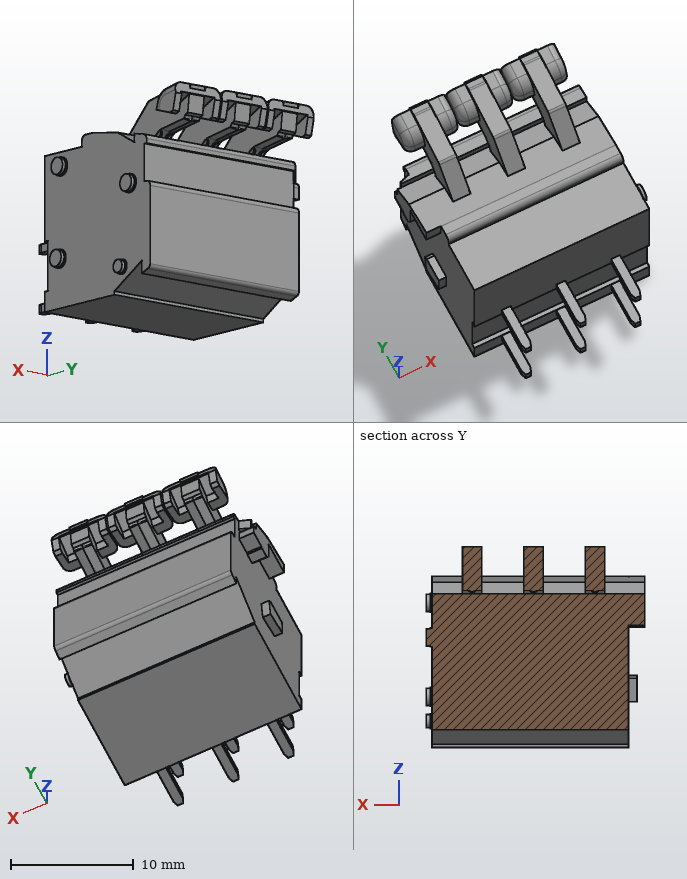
import cadquery as cq
import math


HOUSING_WIDTH = 16.0
HOUSING_HEIGHT = 13.02
CROWN_Z = 13.96
CROWN_FRONT_Y = 4.62
CROWN_BACK_Y = 5.98
CROWN_RADIUS = 0.52
ROOF_KNEE = (9.09, 13.47)
LIP_Y = 11.20
LIP_FOOT_Z = 12.30
LIP_TOP_Z = 13.02
LIP_BACK_Y = 12.73
LIP_SHOULDER = (12.30, 12.80)
LIP_BOTTOM_Z = 11.97
BACK_Y = 13.17
NECK_Y = 12.47
LEDGE_Z = 8.84
LEDGE_RADIUS = 0.46
HOOK_START_Z = 1.85
HOOK_BEND = (12.89, 1.49)
HOOK_TIP_Z = 1.20
HOOK_INNER_Y = 12.15
HOOK_ROOT_Z = 2.28
BASE_END = (8.72, 0.29)
RECESS_DEPTH = 0.40
RECESS_BOTTOM_Z = 1.72
RECESS_TOP_Z = 5.89

POLES = 3
PITCH = 5.0
FIRST_LEVER_X = 2.73
FIRST_PIN_X = 2.90

PIN_WIDTH = 0.82
PIN_TIP_WIDTH = 0.50
PIN_THICKNESS = 0.71
PIN_LENGTH = 4.0
PIN_TAPER = 0.48
PIN_ROOT = 1.0
PIN_ROWS_Z = (1.30, 6.30)

ARM_WIDTH = 1.60
ARM_TIP = (15.38, 16.80)
ARM_PEAK = (14.58, 17.03)
ARM_KNEE = (10.12, 16.26)
ARM_ROOT_FRONT = (7.22, 13.37)
ARM_BEND_RADIUS = 0.40
ARM_ROOT_BACK = (10.73, 12.63)
ARM_ROOT_Z = 12.30
ARM_HOLLOW = ((11.13, 13.22), (11.79, 13.55))
ARM_HEEL = (14.53, 13.96)
ARM_HEEL_TOP = (14.67, 14.35)
ARM_BACK_FOOT = (15.00, 14.50)
ARM_BACK_NOTCH = (15.19, 16.08)
KEEL_DROP = 0.13
KEEL_DEPTH = 0.45

HEAD_WIDTH = 4.85
HEAD_SIDE_WALL = 0.65
HEAD_EDGE_RADIUS = 0.70
HEAD_NOSE_RADIUS = 1.48
HEAD_SHELL = 0.80
HEAD_CAVITY_SLOPE = 0.30
CAVITY_OVERRUN = 1.0
HEAD_TOP = (15.24, 16.85)
HEAD_NOSE = (12.97, 16.45)
HEAD_TOP_MIDDLE = (14.50, 16.72)
HEAD_FRONT_FOOT = (12.54, 14.95)
HEAD_HEEL = (14.66, 14.30)
HEAD_BACK_FOOT = (15.05, 14.45)
HEAD_BACK = (15.38, 15.87)

TAB_LENGTH = 1.33
TAB_BACK_Y = 11.63
TAB_CORNER_Z = 11.32
TAB_CORNER_RADIUS = 0.42
TAB_HEEL = (10.20, 9.93)
TAB_BOTTOM_Z = 9.80
TAB_TOE_BACK_Y = 10.10
TAB_TOE_FRONT_Y = 9.22
TAB_SHIN = (8.85, 10.50)
TAB_ARM_Z = 12.62
FIN_LENGTH = 0.94
FIN_TIP_Y = 11.36
FIN_ROOT_Y = 11.72
FIN_BOTTOM_Z = 11.51
NUB_LENGTH = 0.70
NUB_OUTLINE = ((5.0, 5.89), (7.15, 5.89), (7.48, 5.64), (7.22, 3.72), (5.0, 4.20))

PEGS = ((2.08, 11.79, 1.55), (10.66, 8.97, 1.55), (1.90, 4.14, 1.55), (9.66, 2.17, 1.22))
PEG_LENGTH = 0.47
PEG_COLLAR = 0.15
PEG_STEP = 0.06


def yz_plane(x):
    """Sketch plane with local axes along Y and Z, extruding toward +X."""
    return cq.Workplane("YZ", origin=(x, 0, 0))


def raised(point, rise):
    return (point[0], point[1] + rise)


def point_on_circle(center, radius, degrees):
    angle = math.radians(degrees)
    return (center[0] + radius * math.cos(angle), center[1] + radius * math.sin(angle))


def make_housing():
    crown_center = (CROWN_FRONT_Y + CROWN_RADIUS, CROWN_Z - CROWN_RADIUS)
    ledge_center = (BACK_Y - LEDGE_RADIUS, LEDGE_Z - LEDGE_RADIUS)
    lip_side_z = LIP_SHOULDER[1] - (LIP_BACK_Y - LIP_SHOULDER[0])
    return (
        yz_plane(0)
        .moveTo(0, 0)
        .lineTo(0, RECESS_BOTTOM_Z)
        .lineTo(RECESS_DEPTH, RECESS_BOTTOM_Z)
        .lineTo(RECESS_DEPTH, RECESS_TOP_Z)
        .lineTo(0, RECESS_TOP_Z)
        .lineTo(0, HOUSING_HEIGHT)
        .lineTo(CROWN_FRONT_Y, HOUSING_HEIGHT)
        .lineTo(CROWN_FRONT_Y, crown_center[1])
        .threePointArc(point_on_circle(crown_center, CROWN_RADIUS, 135), (crown_center[0], CROWN_Z))
        .lineTo(CROWN_BACK_Y, CROWN_Z)
        .lineTo(*ROOF_KNEE)
        .lineTo(LIP_Y, LIP_FOOT_Z)
        .lineTo(LIP_Y, LIP_TOP_Z)
        .lineTo(*LIP_SHOULDER)
        .tangentArcPoint((LIP_BACK_Y, lip_side_z), relative=False)
        .lineTo(LIP_BACK_Y, LIP_BOTTOM_Z)
        .lineTo(NECK_Y, LIP_BOTTOM_Z)
        .lineTo(NECK_Y, LEDGE_Z)
        .lineTo(ledge_center[0], LEDGE_Z)
        .threePointArc(point_on_circle(ledge_center, LEDGE_RADIUS, 45), (BACK_Y, ledge_center[1]))
        .lineTo(BACK_Y, HOOK_START_Z)
        .tangentArcPoint(HOOK_BEND, relative=False)
        .lineTo(HOOK_INNER_Y, HOOK_TIP_Z)
        .lineTo(HOOK_INNER_Y, HOOK_ROOT_Z)
        .lineTo(*BASE_END)
        .lineTo(BASE_END[0], 0)
        .close()
        .extrude(HOUSING_WIDTH)
    )


def make_tab():
    corner_center = (TAB_BACK_Y - TAB_CORNER_RADIUS, TAB_CORNER_Z - TAB_CORNER_RADIUS)
    return (
        yz_plane(-TAB_LENGTH)
        .moveTo(CROWN_BACK_Y, CROWN_Z)
        .lineTo(*ROOF_KNEE)
        .lineTo(LIP_Y, LIP_FOOT_Z)
        .lineTo(LIP_Y, TAB_CORNER_Z)
        .lineTo(corner_center[0], TAB_CORNER_Z)
        .threePointArc(
            point_on_circle(corner_center, TAB_CORNER_RADIUS, 45), (TAB_BACK_Y, corner_center[1])
        )
        .lineTo(TAB_BACK_Y, TAB_HEEL[1])
        .lineTo(*TAB_HEEL)
        .lineTo(TAB_TOE_BACK_Y, TAB_BOTTOM_Z)
        .lineTo(TAB_TOE_FRONT_Y, TAB_BOTTOM_Z)
        .lineTo(*TAB_SHIN)
        .lineTo(TAB_SHIN[0], TAB_ARM_Z)
        .lineTo(CROWN_BACK_Y, TAB_ARM_Z)
        .close()
        .extrude(TAB_LENGTH)
    )


def make_fin():
    """Tapered continuation of the rear lip, ending under the lip's own sloping top."""
    plan = [(0, LIP_Y), (-FIN_LENGTH, LIP_Y), (-FIN_LENGTH, FIN_TIP_Y), (0, FIN_ROOT_Y)]
    lip_section = [
        (LIP_Y, FIN_BOTTOM_Z),
        (LIP_Y, LIP_TOP_Z),
        LIP_SHOULDER,
        (LIP_SHOULDER[0], FIN_BOTTOM_Z),
    ]
    column = cq.Workplane("XY").polyline(plan).close().extrude(CROWN_Z)
    return yz_plane(-FIN_LENGTH).polyline(lip_section).close().extrude(FIN_LENGTH).intersect(column)


def make_nub():
    return yz_plane(-NUB_LENGTH).polyline(NUB_OUTLINE).close().extrude(NUB_LENGTH)


def make_peg(y, z, diameter):
    collar = yz_plane(HOUSING_WIDTH).center(y, z).circle(diameter / 2).extrude(PEG_COLLAR)
    stem = yz_plane(HOUSING_WIDTH).center(y, z).circle(diameter / 2 - PEG_STEP).extrude(PEG_LENGTH)
    return collar.union(stem)


def make_pin(x, z):
    outline = [
        (x - PIN_WIDTH / 2, PIN_ROOT),
        (x - PIN_WIDTH / 2, PIN_TAPER - PIN_LENGTH),
        (x - PIN_TIP_WIDTH / 2, -PIN_LENGTH),
        (x + PIN_TIP_WIDTH / 2, -PIN_LENGTH),
        (x + PIN_WIDTH / 2, PIN_TAPER - PIN_LENGTH),
        (x + PIN_WIDTH / 2, PIN_ROOT),
    ]
    base = cq.Workplane("XY", origin=(0, 0, z - PIN_THICKNESS / 2))
    return base.polyline(outline).close().extrude(PIN_THICKNESS)


def make_arm(x):
    underside = [raised(point, KEEL_DROP) for point in (*ARM_HOLLOW, ARM_HEEL)]
    arm = (
        yz_plane(x - ARM_WIDTH / 2)
        .moveTo(*ARM_TIP)
        .lineTo(*ARM_PEAK)
        .lineTo(*ARM_KNEE)
        .lineTo(*ARM_ROOT_FRONT)
        .lineTo(ARM_ROOT_FRONT[0], ARM_ROOT_Z)
        .lineTo(ARM_ROOT_BACK[0], ARM_ROOT_Z)
        .lineTo(*raised(ARM_ROOT_BACK, KEEL_DROP))
        .threePointArc(underside[0], underside[1])
        .lineTo(*underside[2])
        .lineTo(*ARM_HEEL_TOP)
        .lineTo(*ARM_BACK_FOOT)
        .lineTo(*ARM_BACK_NOTCH)
        .close()
        .extrude(ARM_WIDTH)
    )
    for y, z in (ARM_PEAK, ARM_KNEE):
        arm = arm.edges(cq.NearestToPointSelector((x, y, z))).fillet(ARM_BEND_RADIUS)
    return arm.union(make_keel(x))


def make_keel(x):
    """Band along the arm's underside, drawn at mid-width and tapering toward both sides."""
    half_width = ARM_WIDTH / 2
    taper = math.degrees(math.atan(KEEL_DROP / half_width))
    outline = (
        yz_plane(x)
        .moveTo(*ARM_ROOT_BACK)
        .threePointArc(*ARM_HOLLOW)
        .lineTo(*ARM_HEEL)
        .lineTo(*ARM_HEEL_TOP)
        .lineTo(*raised(ARM_HOLLOW[1], KEEL_DEPTH))
        .lineTo(ARM_ROOT_BACK[0] - KEEL_DEPTH, ARM_ROOT_BACK[1])
        .close()
    )
    half = outline.extrude(half_width, taper=taper)
    return half.union(half.mirror("YZ", (x, 0, 0)))


def make_head(x):
    outline = [HEAD_TOP, HEAD_NOSE, HEAD_FRONT_FOOT, HEAD_HEEL, HEAD_BACK_FOOT, HEAD_BACK]
    left = x - HEAD_WIDTH / 2
    head = yz_plane(left).polyline(outline).close().extrude(HEAD_WIDTH)
    head = head.edges(cq.NearestToPointSelector((x, *HEAD_NOSE))).fillet(HEAD_NOSE_RADIUS)
    for side in (left, left + HEAD_WIDTH):
        head = head.edges(cq.NearestToPointSelector((side, *HEAD_TOP_MIDDLE))).fillet(HEAD_EDGE_RADIUS)
    return head.cut(make_head_cavity(x))


def make_head_cavity(x):
    """Hollow below the head's cover, open downward and to the rear."""
    rear_y = HEAD_BACK[0] + CAVITY_OVERRUN
    ceiling = [raised(HEAD_TOP, -HEAD_SHELL), raised(HEAD_NOSE, -HEAD_SHELL - HEAD_CAVITY_SLOPE)]
    outline = [
        (rear_y, ceiling[0][1]),
        ceiling[0],
        (ceiling[1][0] + HEAD_SHELL, ceiling[1][1]),
        (HEAD_FRONT_FOOT[0] + HEAD_SHELL, HEAD_HEEL[1]),
        (rear_y, HEAD_HEEL[1] - CAVITY_OVERRUN),
    ]
    width = HEAD_WIDTH - 2 * HEAD_SIDE_WALL
    return yz_plane(x - width / 2).polyline(outline).close().extrude(width)


result = make_housing().union(make_tab()).union(make_fin()).union(make_nub())
for peg in PEGS:
    result = result.union(make_peg(*peg))
for pole in range(POLES):
    for row_z in PIN_ROWS_Z:
        result = result.union(make_pin(FIRST_PIN_X + pole * PITCH, row_z))
    lever_x = FIRST_LEVER_X + pole * PITCH
    result = result.union(make_head(lever_x).union(make_arm(lever_x)))